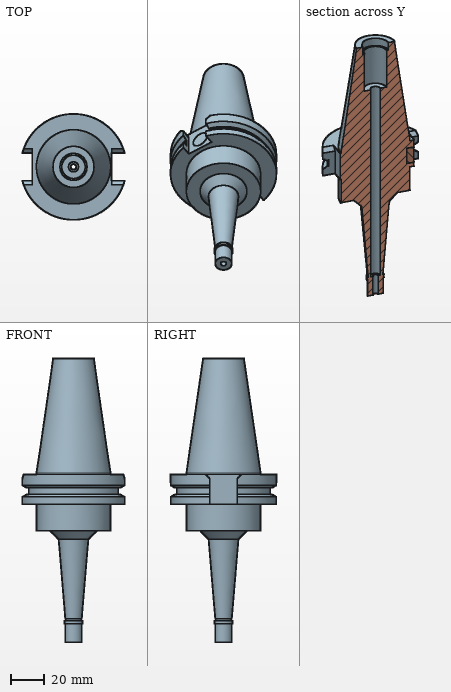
import cadquery as cq
import math

TAPER_RATIO = 7 / 24
TAPER_LENGTH = 68.25
GAUGE_DIAMETER = 44.45
TAPER_TOP_DIAMETER = GAUGE_DIAMETER - TAPER_RATIO * TAPER_LENGTH
GAUGE_LENGTH = 101.6

FLANGE_DIAMETER = 63.5
FLANGE_TOP = -1.1
FLANGE_BOTTOM = -19.05
FLANK_END_DIAMETER = 58.0
CHANNEL_DIAMETER = 56.2
GROOVE_CENTER = -11.15
CHANNEL_WIDTH = 3.8
GROOVE_HALF_ANGLE = math.radians(30)
GROOVE_FLANK_HEIGHT = (FLANGE_DIAMETER - FLANK_END_DIAMETER) / 2 * math.tan(GROOVE_HALF_ANGLE)
CHANNEL_TOP = GROOVE_CENTER + CHANNEL_WIDTH / 2
CHANNEL_BOTTOM = GROOVE_CENTER - CHANNEL_WIDTH / 2
GROOVE_TOP = CHANNEL_TOP + GROOVE_FLANK_HEIGHT
GROOVE_BOTTOM = CHANNEL_BOTTOM - GROOVE_FLANK_HEIGHT

SLOT_WIDTH = 16.38
SLOT_CHAMFER = 2.6
LEFT_SLOT_FLOOR = 24.8
RIGHT_SLOT_FLOOR = 22.8

PLUG_DIAMETER = 10.0
PLUG_LENGTH = 4.5
PLUG_Z = GROOVE_CENTER

STUB_DIAMETER = GAUGE_DIAMETER
STUB_BOTTOM = -35.0
NOSE_DIAMETER = 18.0
SHOULDER_HEIGHT = 5.0
SHOULDER_DIAMETER = NOSE_DIAMETER + 2 * SHOULDER_HEIGHT
NOSE_TOP = STUB_BOTTOM - SHOULDER_HEIGHT
NOSE_END_DIAMETER = 10.0
NECK_DIAMETER = 9.4
NECK_HEIGHT = 1.0

TIP_DIAMETER = 10.0
TIP_BOTTOM = -GAUGE_LENGTH
TIP_LENGTH = 11.0
COLLAR_DIAMETER = 11.0
COLLAR_HEIGHT = 2.0
COLLAR_BOTTOM = TIP_BOTTOM + TIP_LENGTH
COLLAR_TOP = COLLAR_BOTTOM + COLLAR_HEIGHT
NECK_TOP = COLLAR_TOP + NECK_HEIGHT

MOUTH_DIAMETER = 16.2
MOUTH_DEPTH = 5.0
THREAD_DIAMETER = 14.0
THREAD_DEPTH = 30.0
COOLANT_DIAMETER = 6.0
TIP_BORE_DIAMETER = 3.2


def revolve_outline(steps):
    """Solid of revolution about Z from (diameter, height) steps running down the outside."""
    outline = [(diameter / 2, height) for diameter, height in steps]
    axis_ends = [(0, steps[-1][1]), (0, steps[0][1])]
    return cq.Workplane("YZ").polyline(outline + axis_ends).close().revolve(360, (0, 0), (0, 1))


def bore(diameter, top, bottom):
    """Cylindrical cutter on the Z axis between two heights."""
    return cq.Workplane("XY").workplane(offset=bottom).circle(diameter / 2).extrude(top - bottom)


def drive_slot(side, floor):
    """Cutter for a slot with chamfered top edges; side is +1 or -1 along X."""
    half = SLOT_WIDTH / 2
    profile = [
        (-half, FLANGE_BOTTOM),
        (half, FLANGE_BOTTOM),
        (half, FLANGE_TOP - SLOT_CHAMFER),
        (half + SLOT_CHAMFER, FLANGE_TOP),
        (-half - SLOT_CHAMFER, FLANGE_TOP),
        (-half, FLANGE_TOP - SLOT_CHAMFER),
    ]
    floor_plane = cq.Workplane("YZ", origin=(side * floor, 0, 0))
    return floor_plane.polyline(profile).close().extrude(side * FLANGE_DIAMETER / 2)


def make_plug():
    """Plug running inward along +X from the left slot floor."""
    floor_plane = cq.Workplane("YZ", origin=(-LEFT_SLOT_FLOOR, 0, PLUG_Z))
    return floor_plane.circle(PLUG_DIAMETER / 2).extrude(PLUG_LENGTH)


def make_holder():
    holder = revolve_outline([
        (TAPER_TOP_DIAMETER, TAPER_LENGTH),
        (GAUGE_DIAMETER, 0),
        (GAUGE_DIAMETER, FLANGE_TOP),
        (FLANGE_DIAMETER, FLANGE_TOP),
        (FLANGE_DIAMETER, GROOVE_TOP),
        (FLANK_END_DIAMETER, CHANNEL_TOP),
        (CHANNEL_DIAMETER, CHANNEL_TOP),
        (CHANNEL_DIAMETER, CHANNEL_BOTTOM),
        (FLANK_END_DIAMETER, CHANNEL_BOTTOM),
        (FLANGE_DIAMETER, GROOVE_BOTTOM),
        (FLANGE_DIAMETER, FLANGE_BOTTOM),
        (STUB_DIAMETER, FLANGE_BOTTOM),
        (STUB_DIAMETER, STUB_BOTTOM),
        (SHOULDER_DIAMETER, STUB_BOTTOM),
        (NOSE_DIAMETER, NOSE_TOP),
        (NOSE_END_DIAMETER, NECK_TOP),
        (NECK_DIAMETER, NECK_TOP),
        (NECK_DIAMETER, COLLAR_TOP),
        (COLLAR_DIAMETER, COLLAR_TOP),
        (COLLAR_DIAMETER, COLLAR_BOTTOM),
        (TIP_DIAMETER, COLLAR_BOTTOM),
        (TIP_DIAMETER, TIP_BOTTOM),
    ])
    holder = holder.cut(drive_slot(-1, LEFT_SLOT_FLOOR))
    holder = holder.cut(drive_slot(1, RIGHT_SLOT_FLOOR))
    holder = holder.cut(make_plug())
    holder = holder.cut(bore(MOUTH_DIAMETER, TAPER_LENGTH, TAPER_LENGTH - MOUTH_DEPTH))
    holder = holder.cut(bore(THREAD_DIAMETER, TAPER_LENGTH, TAPER_LENGTH - THREAD_DEPTH))
    holder = holder.cut(bore(COOLANT_DIAMETER, TAPER_LENGTH, COLLAR_TOP))
    return holder.cut(bore(TIP_BORE_DIAMETER, COLLAR_TOP, TIP_BOTTOM))


holder = make_holder()
plug = make_plug()
result = cq.Compound.makeCompound([holder.val(), plug.val()])